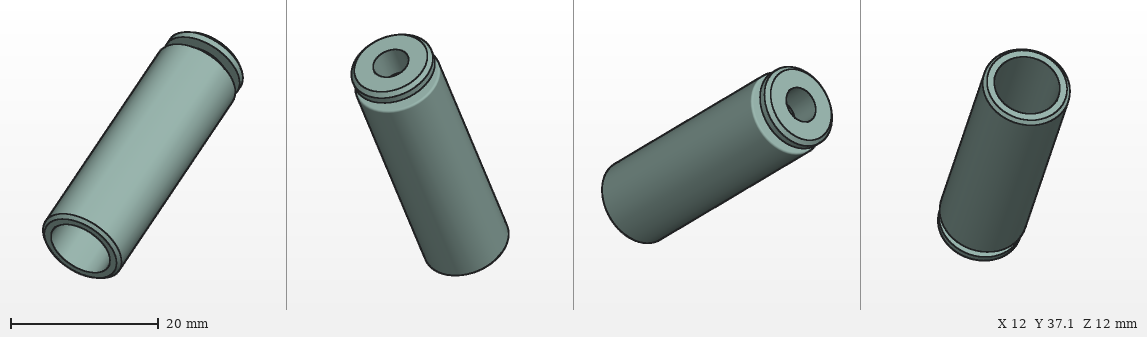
import cadquery as cq
import math

total_length = 37.1
body_diameter = 12.0
bore_diameter = 9.0
passage_diameter = 5.0

collar_diameter = 11.5
collar_thickness = 1.6
collar_chamfer = 0.6
neck_diameter = 7.1
neck_length = 1.5
neck_flare = 0.3

front_chamfer = 0.5
rear_edge_radius = 0.3

floor_cone_angle = 135.0
floor_wall = (body_diameter - bore_diameter) / 2

front_y = -total_length / 2
rear_y = total_length / 2
collar_front_y = rear_y - collar_thickness
body_rear_y = collar_front_y - neck_length
cone_rear_y = body_rear_y - floor_wall
cone_depth = (bore_diameter - passage_diameter) / 2 / math.tan(math.radians(floor_cone_angle / 2))
cone_front_y = cone_rear_y - cone_depth


def revolve_about_y(half_profile):
    """Turn a closed half profile, drawn with X as radius, a full turn about the Y axis."""
    return half_profile.revolve(360, (0, 0, 0), (0, 1, 0))


def cylinder(diameter, start_y, end_y):
    """Solid cylinder on the Y axis from start_y back to end_y."""
    return cq.Workplane("XZ", origin=(0, start_y, 0)).circle(diameter / 2).extrude(start_y - end_y)


def make_body():
    """Main barrel: chamfered front rim, slightly rounded rear edge."""
    body = cylinder(body_diameter, front_y, body_rear_y)
    body = body.faces("<Y").edges().chamfer(front_chamfer)
    return body.faces(">Y").edges().fillet(rear_edge_radius)


def make_neck():
    """Neck that flares at 45 degrees into the front of the collar."""
    neck_radius = neck_diameter / 2
    return revolve_about_y(
        cq.Workplane("XY")
        .moveTo(0, body_rear_y)
        .lineTo(neck_radius, body_rear_y)
        .lineTo(neck_radius, collar_front_y - neck_flare)
        .lineTo(neck_radius + neck_flare, collar_front_y)
        .lineTo(0, collar_front_y)
        .close()
    )


def make_collar():
    """Rear collar with a chamfered rear edge."""
    collar = cylinder(collar_diameter, collar_front_y, rear_y)
    return collar.faces(">Y").edges().chamfer(collar_chamfer)


def make_bore():
    """Cutter: front bore, conical floor and the passage through the neck and collar."""
    bore_radius = bore_diameter / 2
    passage_radius = passage_diameter / 2
    return revolve_about_y(
        cq.Workplane("XY")
        .moveTo(0, front_y)
        .lineTo(bore_radius, front_y)
        .lineTo(bore_radius, cone_front_y)
        .lineTo(passage_radius, cone_rear_y)
        .lineTo(passage_radius, rear_y)
        .lineTo(0, rear_y)
        .close()
    )


result = make_body().union(make_neck()).union(make_collar()).cut(make_bore())